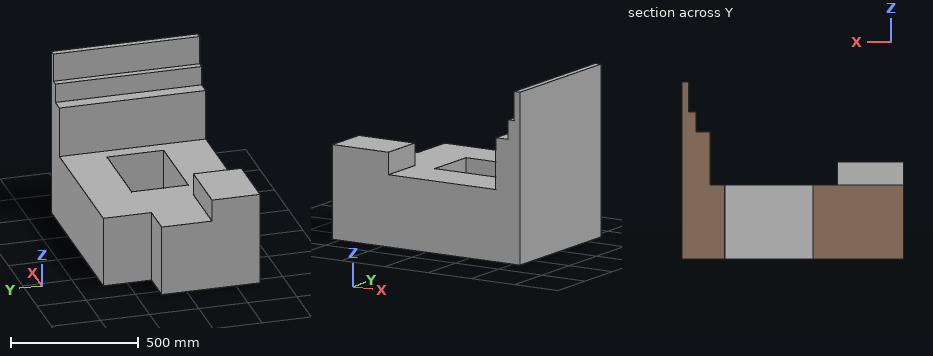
import cadquery as cq

LENGTH = 868.0
WIDTH = 597.0
HEIGHT = 693.59

BASE_HEIGHT = 290.4
CORNER_CUT_LENGTH = 144.0
CORNER_CUT_WIDTH = 196.0

BLOCK_LENGTH = 260.0
BLOCK_WIDTH = 196.0
BLOCK_TOP = 380.4

OPENING_LENGTH = 344.0
OPENING_WIDTH = 230.5
OPENING_LEFT = 355.0
OPENING_FRONT = 189.0

STEP_DEPTH = 28.0
LOWER_STEP_TOP = 498.5
MIDDLE_STEP_TOP = 577.0
WALL_LAYERS = [
    (4 * STEP_DEPTH, LOWER_STEP_TOP),
    (2 * STEP_DEPTH, MIDDLE_STEP_TOP),
    (STEP_DEPTH, HEIGHT),
]


def box_at(x, y, z, length, width, height):
    """Box with its lower front left corner at (x, y, z)."""
    return cq.Workplane("XY").box(length, width, height, centered=False).translate((x, y, z))


def make_base():
    slab = box_at(0, 0, 0, LENGTH, WIDTH, BASE_HEIGHT)
    corner = box_at(
        0, WIDTH - CORNER_CUT_WIDTH, 0,
        CORNER_CUT_LENGTH, CORNER_CUT_WIDTH, BASE_HEIGHT,
    )
    opening = box_at(
        OPENING_LEFT, OPENING_FRONT, 0,
        OPENING_LENGTH, OPENING_WIDTH, BASE_HEIGHT,
    )
    return slab.cut(corner).cut(opening)


def make_block():
    return box_at(0, 0, 0, BLOCK_LENGTH, BLOCK_WIDTH, BLOCK_TOP)


def make_wall():
    """Wall that thins in steps towards its top, flush with the right end."""
    wall = cq.Workplane("XY")
    for thickness, top in WALL_LAYERS:
        wall = wall.union(box_at(LENGTH - thickness, 0, 0, thickness, WIDTH, top))
    return wall


result = make_base().union(make_block()).union(make_wall()).clean()